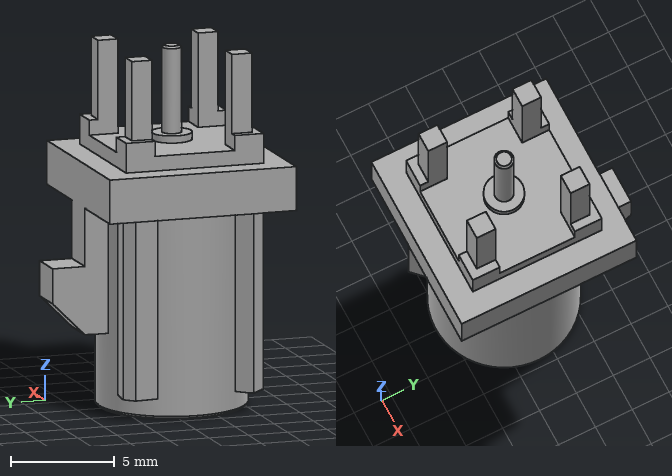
import cadquery as cq
import math

total_height = 17.7
flange_bottom = 10.15
flange_top = 12.32
plinth_floor = 13.05
plinth_top = 13.79
collar_top = 13.4
rib_bottom = 1.03

barrel_radius = 7.42 / 2
barrel_chamfer = 0.15
flange_width = 9.5

plinth_width = 7.01
leg_inner = 2.04
leg_outer = 3.06
leg_size = leg_outer - leg_inner
leg_center = (leg_inner + leg_outer) / 2
pad_size = plinth_width / 2 - leg_inner
pad_center = plinth_width / 2 - pad_size / 2

hook_width = 1.98
hook_reach = 11.15 - flange_width / 2
hook_top = 7.27
hook_ramp_top = 5.54
hook_bottom = 3.9

rib_height = flange_bottom - rib_bottom
straight_rib_angle = 225.0
straight_rib_width = 1.05
tapered_rib_angle = 135.0
rib_reach = 4.67
tapered_rib_reach = 4.62
tip_half_width = 0.34
shoulder_half_width = 1.08
shoulder_reach = 3.7
shoulder_return = 0.7

pin_radius = 0.95 / 2
pin_chamfer = 0.1
collar_radius = 1.98 / 2


def square_block(width, bottom, top, x=0, y=0):
    """Square block centered at (x, y), between two heights."""
    block = cq.Workplane("XY").workplane(offset=bottom).center(x, y)
    return block.rect(width, width).extrude(top - bottom)


def cylinder(radius, bottom, top):
    return cq.Workplane("XY").workplane(offset=bottom).circle(radius).extrude(top - bottom)


def make_hook():
    """Latch arm below the flange, ending in an outward hook with a ramp."""
    arm_outer = flange_width / 2
    profile = [
        (0, flange_bottom),
        (arm_outer, flange_bottom),
        (arm_outer, hook_top),
        (hook_reach, hook_top),
        (hook_reach, hook_ramp_top),
        (arm_outer, hook_bottom),
        (0, hook_bottom),
    ]
    return cq.Workplane("YZ").polyline(profile).close().extrude(hook_width / 2, both=True)


def make_rib(outline, angle):
    """Upright rib whose outline points along +X before it turns to its angle."""
    rib = cq.Workplane("XY").workplane(offset=rib_bottom).polyline(outline).close().extrude(rib_height)
    return rib.rotate((0, 0, 0), (0, 0, 1), angle)


def make_straight_rib():
    half_width = straight_rib_width / 2
    outline = [(0, -half_width), (rib_reach, -half_width), (rib_reach, half_width), (0, half_width)]
    return make_rib(outline, straight_rib_angle)


def make_tapered_rib():
    """Rib that narrows toward its tip; its shoulders turn back at 45 degrees into the barrel."""
    setback = shoulder_return * math.sin(math.radians(45))
    root_reach = shoulder_reach - setback
    root_half_width = shoulder_half_width - setback
    one_side = [
        (root_reach, -root_half_width),
        (shoulder_reach, -shoulder_half_width),
        (tapered_rib_reach, -tip_half_width),
    ]
    other_side = [(x, -y) for x, y in reversed(one_side)]
    return make_rib(one_side + other_side, tapered_rib_angle)


def make_housing():
    housing = cylinder(barrel_radius, 0, flange_bottom).faces("<Z").chamfer(barrel_chamfer)
    housing = housing.union(square_block(flange_width, flange_bottom, flange_top))
    housing = housing.union(square_block(plinth_width, flange_top, plinth_floor))
    for x_side in (-1, 1):
        for y_side in (-1, 1):
            pad = square_block(pad_size, plinth_floor, plinth_top, x_side * pad_center, y_side * pad_center)
            leg = square_block(leg_size, plinth_top, total_height, x_side * leg_center, y_side * leg_center)
            housing = housing.union(pad).union(leg)
    housing = housing.union(make_hook())
    housing = housing.union(make_straight_rib())
    housing = housing.union(make_tapered_rib())
    return housing.cut(cylinder(pin_radius, flange_bottom, plinth_floor))


def make_pin():
    """Round pin with a chamfered top and a collar that rests on the plinth floor."""
    shank = cylinder(pin_radius, flange_bottom, total_height).faces(">Z").chamfer(pin_chamfer)
    return shank.union(cylinder(collar_radius, plinth_floor, collar_top))


housing = make_housing()
pin = make_pin()

result = cq.Compound.makeCompound([housing.val(), pin.val()])